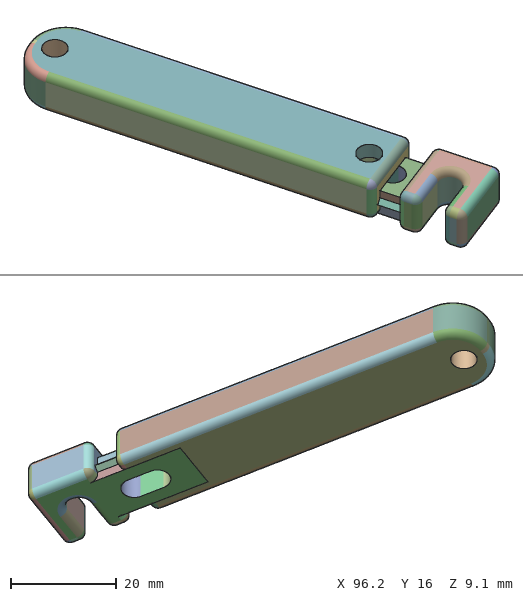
import cadquery as cq

total_length = 96.15
width = 16.0
height = 9.1
edge_radius = 1.5

head_length = 14.1
gap = 5.0
handle_length = total_length - head_length - gap
head_start_x = handle_length + gap

handle_corner_radius = 7.5
end_hole_diameter = 5.0
end_hole_x = 5.4
pin_hole_diameter = 5.1
pin_hole_end_distance = 5.0
pin_hole_x = handle_length - pin_hole_end_distance

hook_slot_width = 5.0
hook_slot_x = head_start_x + head_length / 2

tongue_width = 10.7
tongue_height = 5.9
rail_height = 3.1
rail_depth = 1.0
tongue_inner_margin = 8.0
tongue_start_x = pin_hole_x - tongue_inner_margin
tongue_slot_end_x = pin_hole_x + gap
tongue_root = 1.9


def tongue_bar(end_x):
    """Bar with a V rail on each side, from the tongue's inner end to end_x."""
    half = tongue_width / 2
    right_side = [
        (half, 0),
        (half, rail_height - rail_depth),
        (half + rail_depth, rail_height),
        (half, rail_height + rail_depth),
        (half, tongue_height),
    ]
    left_side = [(-y, z) for y, z in reversed(right_side)]
    return (
        cq.Workplane("YZ", origin=(tongue_start_x, 0, 0))
        .polyline(right_side + left_side)
        .close()
        .extrude(end_x - tongue_start_x)
    )


def through_hole(x, diameter):
    return cq.Workplane("XY").center(x, 0).circle(diameter / 2).extrude(height)


def make_handle():
    body = cq.Workplane("XY").box(handle_length, width, height, centered=(False, True, False))
    body = body.edges("|Z and <X").fillet(handle_corner_radius)
    body = body.edges("|Z and >X").fillet(edge_radius)
    body = body.faces("<Z or >Z").edges().fillet(edge_radius)
    body = body.cut(tongue_bar(handle_length))
    body = body.cut(through_hole(end_hole_x, end_hole_diameter))
    return body.cut(through_hole(pin_hole_x, pin_hole_diameter))


def make_hook_head():
    """Block with a round-ended slot open to -Y, rounded on every edge."""
    block = (
        cq.Workplane("XY", origin=(head_start_x, 0, 0))
        .box(head_length, width, height, centered=(False, True, False))
    )
    slot_mouth = (
        cq.Workplane("XY", origin=(hook_slot_x, -width / 2, 0))
        .box(hook_slot_width, width / 2, height, centered=(True, False, False))
    )
    head = block.cut(slot_mouth.union(through_hole(hook_slot_x, hook_slot_width)))
    upright_corners = head.edges("|Z and (<Y or >Y)")
    head = upright_corners.fillet(edge_radius)
    return head.faces("<Z or >Z").edges().fillet(edge_radius)


def make_slider():
    tongue_slot_length = tongue_slot_end_x - pin_hole_x
    tongue_slot = (
        cq.Workplane("XY")
        .center((pin_hole_x + tongue_slot_end_x) / 2, 0)
        .slot2D(tongue_slot_length + pin_hole_diameter, pin_hole_diameter)
        .extrude(tongue_height)
    )
    tongue = tongue_bar(head_start_x + tongue_root).cut(tongue_slot)
    return make_hook_head().union(tongue)


handle = make_handle()
slider = make_slider()

result = cq.Compound.makeCompound([handle.solids().val(), slider.solids().val()])